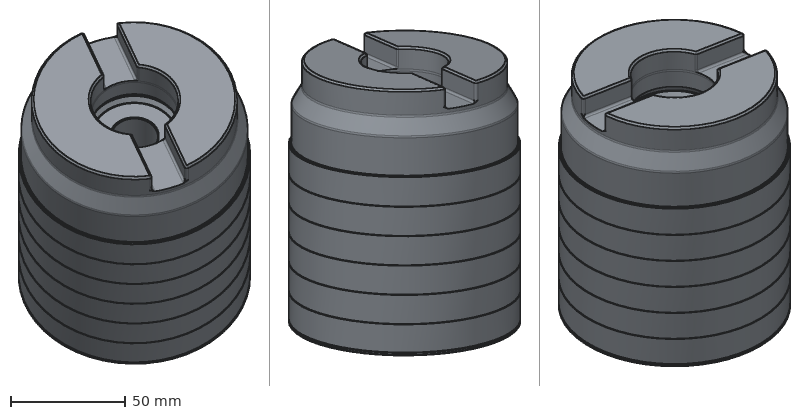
import cadquery as cq
import math

height = 120.0
sleeve_diameter = 101.5
core_diameter = 99.2
collar_diameter = 90.0

collar_depth = 12.0
cone_angle = 30.0
cone_blend_radius = 1.8
edge_chamfer = 1.0

bore_diameter = 38.3
pilot_diameter = 38.2
bore_step_depth = 10.0
bore_step_length = 1.0
groove_start_depth = 19.0
groove_bottom_depth = 21.7
groove_flat = 0.6
bore_depth = 24.8
floor_diameter = 37.3
groove_radial_depth = 1.5
through_diameter = 20.5
through_chamfer = 0.5

slot_width = 15.4
slot_depth = 10.0
slot_fillet = 1.1
selection_margin = 0.1
slot_angle = -35.0

sleeve_height = 82.2
bottom_seam = 1.5
first_ring_seam = 14.5
ring_height = 13.5
ring_seam_count = 5
seam_width = 0.4
seam_depth = 0.1
sleeve_chamfer = 0.5


def revolve_profile(points):
    """Solid of revolution about Z from (radius, height) points."""
    return cq.Workplane("XZ").polyline(points).close().revolve(360, (0, 0), (0, 1))


def holder_blank():
    """Core cylinder, cone and collar, with the two cone corners rounded."""
    collar_radius = collar_diameter / 2
    core_radius = core_diameter / 2
    cone_top = height - collar_depth
    cone_bottom = cone_top - (core_radius - collar_radius) / math.tan(math.radians(cone_angle))
    blank = revolve_profile([
        (0, 0),
        (core_radius, 0),
        (core_radius, cone_bottom),
        (collar_radius, cone_top),
        (collar_radius, height),
        (0, height),
    ])
    corners = blank.edges(cq.selectors.BoxSelector(
        (-core_radius, -core_radius, cone_bottom - selection_margin),
        (core_radius, core_radius, cone_top + selection_margin),
    )).edges("%CIRCLE")
    return corners.fillet(cone_blend_radius)


def bore_cutter():
    """Stepped bore with a V-shaped relief groove above its floor."""
    bore_radius = bore_diameter / 2
    pilot_radius = pilot_diameter / 2
    floor_radius = floor_diameter / 2
    groove_radius = pilot_radius + groove_radial_depth
    return revolve_profile([
        (0, height),
        (bore_radius, height),
        (bore_radius, height - bore_step_depth),
        (pilot_radius, height - bore_step_depth - bore_step_length),
        (pilot_radius, height - groove_start_depth),
        (groove_radius, height - groove_bottom_depth),
        (groove_radius, height - groove_bottom_depth - groove_flat),
        (floor_radius, height - bore_depth + groove_flat),
        (floor_radius, height - bore_depth),
        (0, height - bore_depth),
    ])


def through_hole_cutter():
    """Hole from the bore floor to the bottom, chamfered at the floor."""
    hole_radius = through_diameter / 2
    floor = height - bore_depth
    return revolve_profile([
        (0, 0),
        (hole_radius, 0),
        (hole_radius, floor - through_chamfer),
        (hole_radius + through_chamfer, floor),
        (0, floor),
    ])


def cut_slot(body):
    """Cut the driving slot along X, then round its floor corners and its upright end edges."""
    slot = cq.Workplane("XY").box(core_diameter, slot_width, 2 * slot_depth)
    body = body.cut(slot.translate((0, 0, height)))
    floor = height - slot_depth
    reach = core_diameter / 2
    upright_edges = body.edges(cq.selectors.BoxSelector(
        (-reach, -slot_width, floor),
        (reach, slot_width, height),
    )).edges("|Z")
    floor_edges = body.edges(cq.selectors.BoxSelector(
        (-reach, -slot_width, floor - selection_margin),
        (reach, slot_width, floor + selection_margin),
    )).edges("|X")
    return upright_edges.add(floor_edges).fillet(slot_fillet)


def make_holder():
    holder = holder_blank().cut(bore_cutter())
    holder = cut_slot(holder)
    holder = holder.faces(">Z").edges().chamfer(edge_chamfer)
    holder = holder.cut(through_hole_cutter())
    return holder.rotate((0, 0, 0), (0, 0, 1), slot_angle)


def make_sleeve():
    outer = sleeve_diameter / 2
    inner = core_diameter / 2
    sleeve = revolve_profile([
        (inner, 0),
        (outer - sleeve_chamfer, 0),
        (outer, sleeve_chamfer),
        (outer, sleeve_height - sleeve_chamfer),
        (outer - sleeve_chamfer, sleeve_height),
        (inner, sleeve_height),
    ])
    ring_seams = [first_ring_seam + number * ring_height for number in range(ring_seam_count)]
    for seam in [bottom_seam, *ring_seams]:
        sleeve = sleeve.cut(revolve_profile([
            (outer, seam - seam_width / 2),
            (outer - seam_depth, seam),
            (outer, seam + seam_width / 2),
        ]))
    return sleeve


holder = make_holder()
sleeve = make_sleeve()
result = cq.Compound.makeCompound([holder.val(), sleeve.val()])